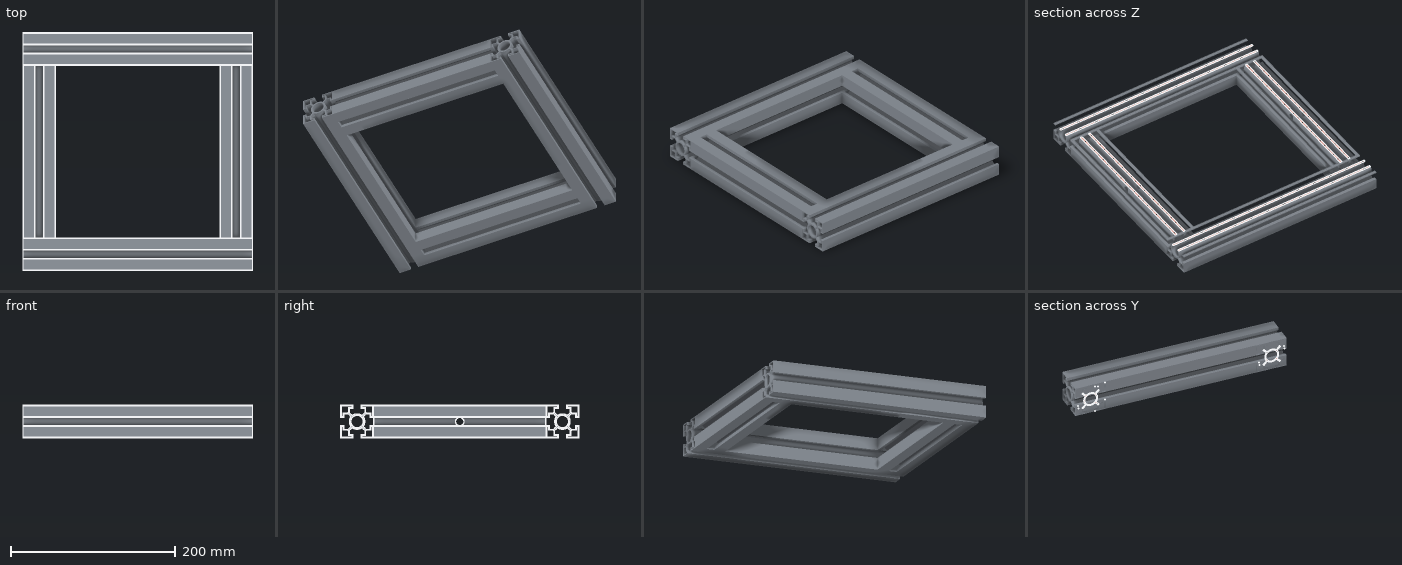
import cadquery as cq
import math

FRAME_X = 280.0
FRAME_Y = 290.0
SIZE = 40.0
HALF = SIZE / 2

WALL = 1.0
SLOT_HALF = 5.0
LIP_DEPTH = 4.0
WEB_FACE = 9.5
CHAMBER_CHAMFER = 1.0
CORE_OUTER_RADIUS = 9.5
CORE_BORE_RADIUS = 7.5
ARM_WIDTH = 2.0

HOLE_DIAMETER = 10.0

ARM_REACH = WEB_FACE + 2 * WALL
CROSS_LENGTH = FRAME_Y - 2 * SIZE
RAIL_Y = FRAME_Y / 2 - HALF
CROSS_X = FRAME_X / 2 - HALF


def corner_outline(inset):
    """L-shaped outline of a corner chamber with its two lips, moved inwards by inset."""
    outer = HALF - inset
    tip = SLOT_HALF + inset
    lip_back = HALF - LIP_DEPTH + inset
    web = WEB_FACE + inset
    return cq.Workplane("XY").polyline([
        (outer, outer),
        (tip, outer),
        (tip, lip_back),
        (web, lip_back),
        (web, web),
        (lip_back, web),
        (lip_back, tip),
        (outer, tip),
    ]).close()


def extrusion(length):
    """Hollow T-slot extrusion along Z, centred on the origin."""
    body = cq.Workplane("XY").circle(CORE_OUTER_RADIUS).extrude(length)
    corner = corner_outline(0).extrude(length)
    arm_end = math.hypot(ARM_REACH, ARM_REACH)
    arm = cq.Workplane("XY").rect(2 * arm_end, ARM_WIDTH).extrude(length)
    chamber = corner_outline(WALL).extrude(length)
    inner_corner = cq.selectors.NearestToPointSelector((WEB_FACE + WALL, WEB_FACE + WALL, length / 2))
    chamber = chamber.edges("|Z").edges(inner_corner).chamfer(CHAMBER_CHAMFER)
    for angle in (45, 135):
        body = body.union(arm.rotate((0, 0, 0), (0, 0, 1), angle))
    for turn in range(4):
        body = body.union(corner.rotate((0, 0, 0), (0, 0, 1), 90 * turn))
    for turn in range(4):
        body = body.cut(chamber.rotate((0, 0, 0), (0, 0, 1), 90 * turn))
    bore = cq.Workplane("XY").circle(CORE_BORE_RADIUS).extrude(length)
    return body.cut(bore).translate((0, 0, -length / 2))


def long_rail():
    return extrusion(FRAME_X).rotate((0, 0, 0), (0, 1, 0), 90)


def cross_member():
    """Extrusion along Y with a hole along X through both walls of its core tube."""
    hole_half_length = HALF - LIP_DEPTH
    hole = cq.Workplane("YZ").circle(HOLE_DIAMETER / 2).extrude(hole_half_length, both=True)
    return extrusion(CROSS_LENGTH).rotate((0, 0, 0), (1, 0, 0), 90).cut(hole)


rail = long_rail()
cross = cross_member()
result = rail.translate((0, RAIL_Y, 0)).union(rail.translate((0, -RAIL_Y, 0)))
for side in (-1, 1):
    result = result.union(cross.translate((side * CROSS_X, 0, 0)))